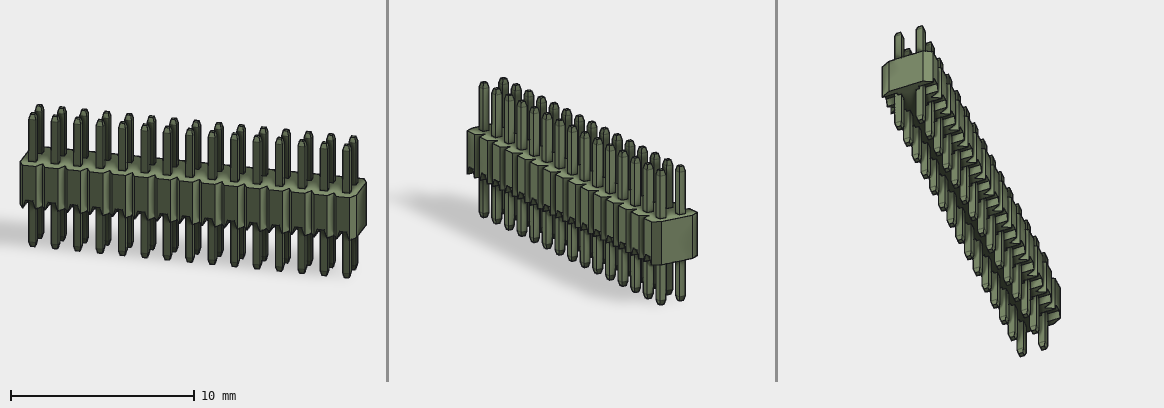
import cadquery as cq

pin_columns = 15
pin_rows = 2
body_length = 19.05
body_width = 3.0
body_height = 2.5
pitch = body_length / pin_columns

facet_length = 0.76
notch_depth = 0.5

recess_height = 0.45
recess_mouth = 0.7
recess_depth = (body_width - pitch) / 2

pin_side = 0.4
recess_roof = pin_side
pin_tip_side = 0.25
pin_tip_length = 0.29
total_height = 7.75
pin_above_body = 2.75
pin_below_body = total_height - body_height - pin_above_body


def centred_places(count):
    """Places of count items one pitch apart, centred on zero."""
    return [(index - (count - 1) / 2) * pitch for index in range(count)]


column_places = centred_places(pin_columns)
row_places = centred_places(pin_rows)


def make_body():
    """Strip with its base at Z = 0, notched along both long sides."""
    half_pitch = pitch / 2
    half_facet = facet_length / 2
    outer_y = body_width / 2
    root_y = outer_y - notch_depth

    front_edge = [(-body_length / 2, -root_y)]
    for x in column_places:
        front_edge.append((x - half_facet, -outer_y))
        front_edge.append((x + half_facet, -outer_y))
        front_edge.append((x + half_pitch, -root_y))
    back_edge = [(x, -y) for x, y in reversed(front_edge)]
    return cq.Workplane("XY").polyline(front_edge + back_edge).close().extrude(body_height)


def make_recess(x):
    """Trapezoidal recess cut in from the -Y side, wider at the base of the strip."""
    profile = [
        (x - recess_mouth / 2, 0),
        (x - recess_roof / 2, recess_height),
        (x + recess_roof / 2, recess_height),
        (x + recess_mouth / 2, 0),
    ]
    front_side = cq.Workplane("XZ", origin=(0, -body_width / 2, 0))
    return front_side.polyline(profile).close().extrude(-recess_depth)


def make_pin(x, y):
    """Square pin with a tapered tip at each end."""
    inset = (pin_side - pin_tip_side) / 2
    shank = cq.Workplane("XY").box(pin_side, pin_side, total_height, centered=(True, True, False))
    pin = shank.faces("<Z or >Z").chamfer(pin_tip_length, inset)
    return pin.translate((x, y, -pin_below_body))


result = make_body()
for column_x in column_places:
    front_recess = make_recess(column_x)
    back_recess = front_recess.mirror("XZ")
    result = result.cut(front_recess).cut(back_recess)
for column_x in column_places:
    for row_y in row_places:
        result = result.union(make_pin(column_x, row_y))